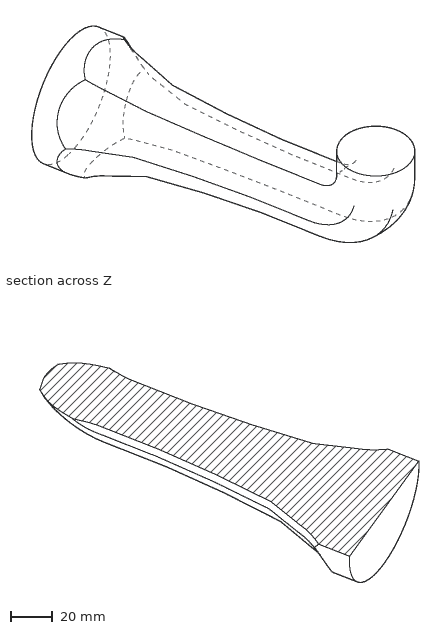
import cadquery as cq
import math

total_length = 192.0
base_radius = 35.5
top_height = 41.9
spigot_radius = 18.8
bend_start = 147.5
base_rim_length = 12.5

arm_half_flat = spigot_radius * math.cos(math.radians(30))
flare_mid = (19.4, 30.7)
flare_end = (31.3, 26.1)
neck_start = (50.3, 20.4)
taper_mid = (82.2, 17.7)
taper_end = (113.9, arm_half_flat)
slab_half_height = 46.1

spigot_x = total_length - spigot_radius
bend_radius = spigot_x - bend_start
hexagon_angles = [60 * i for i in range(6)]


def flat_pair():
    """Slab bounded by one opposite pair of flared arm flats."""
    def mirrored(point):
        return (point[0], -point[1])

    flare_start = (base_rim_length, base_radius)
    outline = (
        cq.Workplane("XZ")
        .moveTo(0, slab_half_height)
        .lineTo(*flare_start)
        .threePointArc(flare_mid, flare_end)
        .lineTo(*neck_start)
        .lineTo(*taper_mid)
        .lineTo(*taper_end)
        .lineTo(bend_start, arm_half_flat)
        .lineTo(bend_start, -arm_half_flat)
        .lineTo(*mirrored(taper_end))
        .lineTo(*mirrored(taper_mid))
        .lineTo(*mirrored(neck_start))
        .lineTo(*mirrored(flare_end))
        .threePointArc(mirrored(flare_mid), mirrored(flare_start))
        .lineTo(0, -slab_half_height)
        .close()
    )
    return outline.extrude(2 * base_radius, both=True)


def make_arm():
    """Round bar cut by three pairs of flats into a flared hexagon."""
    arm = cq.Workplane("YZ").circle(base_radius).extrude(bend_start)
    for angle in hexagon_angles[:3]:
        arm = arm.intersect(flat_pair().rotate((0, 0, 0), (1, 0, 0), angle))
    return arm


def ring_point(angle):
    """Point on the spigot circle, in section coordinates."""
    turn = math.radians(angle)
    return (spigot_radius * math.cos(turn), spigot_radius * math.sin(turn))


def spigot_circle():
    """Spigot base circle in six arcs, one for each side of the hexagon."""
    end_plane = cq.Plane(origin=(spigot_x, 0, bend_radius), xDir=(0, 1, 0), normal=(0, 0, 1))
    circle = cq.Workplane(end_plane).moveTo(*ring_point(0))
    for angle in hexagon_angles:
        circle = circle.threePointArc(ring_point(angle + 30), ring_point(angle + 60))
    return circle.close()


def make_bend():
    """Quarter bend blending the hexagon into the round spigot."""
    path = (
        cq.Workplane("XZ")
        .moveTo(bend_start, 0)
        .radiusArc((spigot_x, bend_radius), -bend_radius)
    )
    hexagon = (
        cq.Workplane("YZ", origin=(bend_start, 0, 0))
        .polyline([ring_point(angle) for angle in hexagon_angles])
        .close()
    )
    circle = spigot_circle()
    sections = hexagon.add(circle)
    sections.ctx.pendingWires.extend(circle.ctx.pendingWires)
    return sections.sweep(path, multisection=True)


def make_spigot():
    """Straight round outlet above the bend."""
    return spigot_circle().extrude(top_height - bend_radius)


result = make_arm().union(make_bend()).union(make_spigot())